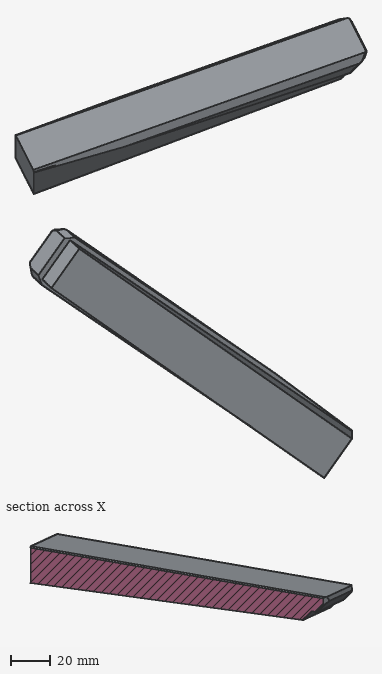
import cadquery as cq
import math

total_width = 30.0
total_length = 184.87
total_height = 27.96

front_height = 19.9
ledge_height = 18.85
undercut_angle = 46.0
side_chamfer = 3.2
rear_chamfer = 3.3
undercut_corner_chamfer = 3.2
tip_width = 20.2

stem_width = 25.0
stem_rear_inset = 9.5
stem_rear_height = 12.9


def undercut_run(rise):
    """Length along Y that an undercut rear face covers over a given rise."""
    return rise / math.tan(math.radians(undercut_angle))


def extrude_side_profile(points, width):
    """Solid of a closed Y-Z outline, centred on X = 0."""
    return cq.Workplane("YZ").polyline(points).close().extrude(width / 2, both=True)


def make_cap_plan():
    """Upright prism of the cap's plan outline, with 45 degree corners at the rear tip."""
    corner = (total_width - tip_width) / 2
    blank = cq.Workplane("XY").box(
        total_width, total_length, total_height, centered=(True, False, False)
    )
    return blank.faces(">Y").edges("|Z").chamfer(corner)


def make_cap():
    sharp_length = total_length + rear_chamfer * math.cos(math.radians(undercut_angle))
    top_slope = math.atan2(total_height - front_height, sharp_length - rear_chamfer)
    sharp_height = front_height + sharp_length * math.tan(top_slope)

    blank = extrude_side_profile(
        [
            (0, 0),
            (0, front_height),
            (sharp_length, sharp_height),
            (sharp_length - undercut_run(sharp_height), 0),
        ],
        total_width,
    )

    top_face = blank.faces(">Z")
    side_cut = top_face.edges("not |X").chamfer(side_chamfer)
    rear_cut = top_face.edges("|X and >Y").chamfer(rear_chamfer)
    corner_cut = blank.faces(">Y").edges("#X").chamfer(undercut_corner_chamfer)
    cap = side_cut.intersect(rear_cut).intersect(corner_cut).intersect(make_cap_plan())

    below_ledge = cq.Workplane("XY").box(
        2 * total_width, 2 * sharp_length, ledge_height, centered=(True, True, False)
    )
    return cap.cut(below_ledge)


def make_stem():
    ledge_end = total_length - stem_rear_inset
    bottom_end = ledge_end - undercut_run(ledge_height - stem_rear_height)
    return extrude_side_profile(
        [
            (0, 0),
            (0, ledge_height),
            (ledge_end, ledge_height),
            (bottom_end, stem_rear_height),
        ],
        stem_width,
    )


result = make_cap().union(make_stem())